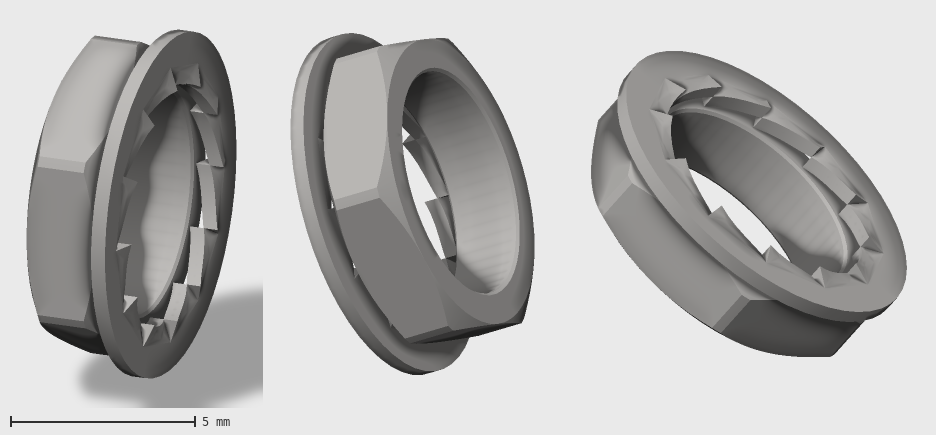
import cadquery as cq
import math

NUT_WIDTH = 1.995
ACROSS_FLATS = 8.0
CORNER_DIAMETER = 9.07
CORNER_CHAMFER_ANGLE = 31.0
BORE_DIAMETER = 6.24
BORE_CHAMFER = 0.08

WASHER_DIAMETER = 9.5
WASHER_THICKNESS = 0.41
TOOTH_COUNT = 12
TOOTH_ROOT_RADIUS = 3.96
TOOTH_TIP_RADIUS = 3.325
TIP_ALLOWANCE = 0.19
TWIST_HEIGHT = 0.2

WASHER_CENTER_X = NUT_WIDTH + WASHER_THICKNESS / 2 + TWIST_HEIGHT
TOOTH_ANGLE = 360.0 / TOOTH_COUNT


def x_cylinder(diameter, start_x, length):
    return cq.Workplane("YZ").workplane(offset=start_x).circle(diameter / 2).extrude(length)


def make_nut():
    corner_to_corner = ACROSS_FLATS / math.cos(math.radians(30))
    hexagon = (
        cq.Workplane("YZ")
        .polygon(6, corner_to_corner)
        .extrude(NUT_WIDTH)
        .rotate((0, 0, 0), (1, 0, 0), 90)
    )

    chamfer_radial = (CORNER_DIAMETER - ACROSS_FLATS) / 2
    chamfer_axial = chamfer_radial * math.tan(math.radians(CORNER_CHAMFER_ANGLE))
    envelope = (
        cq.Workplane("XY")
        .moveTo(0, 0)
        .lineTo(0, ACROSS_FLATS / 2)
        .lineTo(chamfer_axial, CORNER_DIAMETER / 2)
        .lineTo(NUT_WIDTH - chamfer_axial, CORNER_DIAMETER / 2)
        .lineTo(NUT_WIDTH, ACROSS_FLATS / 2)
        .lineTo(NUT_WIDTH, 0)
        .close()
        .revolve(360, (0, 0, 0), (1, 0, 0))
    )
    bored = hexagon.intersect(envelope).cut(x_cylinder(BORE_DIAMETER, 0, NUT_WIDTH))
    return bored.edges(cq.selectors.RadiusNthSelector(0)).chamfer(BORE_CHAMFER)


def tooth_end(angle, twist_direction):
    """Closed radial section at one end of a tooth, run inward past the tip."""
    inner_radius = TOOTH_TIP_RADIUS - TIP_ALLOWANCE
    reach = (TOOTH_ROOT_RADIUS - inner_radius) / (TOOTH_ROOT_RADIUS - TOOTH_TIP_RADIUS)
    inner_shift = twist_direction * TWIST_HEIGHT * reach
    half = WASHER_THICKNESS / 2
    section = [
        (-half, TOOTH_ROOT_RADIUS),
        (half, TOOTH_ROOT_RADIUS),
        (inner_shift + half, inner_radius),
        (inner_shift - half, inner_radius),
    ]
    cosine = math.cos(math.radians(angle))
    sine = math.sin(math.radians(angle))
    points = [cq.Vector(WASHER_CENTER_X + x, r * cosine, r * sine) for x, r in section]
    return cq.Wire.makePolygon(points, close=True)


def make_tooth(start_angle):
    high_end = tooth_end(start_angle, 1)
    low_end = tooth_end(start_angle + TOOTH_ANGLE, -1)
    twisted = cq.Workplane(cq.Solid.makeLoft([high_end, low_end], True))
    tip_bore_length = 4 * WASHER_THICKNESS
    tip_bore = x_cylinder(2 * TOOTH_TIP_RADIUS, WASHER_CENTER_X - tip_bore_length / 2, tip_bore_length)
    return twisted.cut(tip_bore)


def make_washer():
    washer = (
        cq.Workplane("YZ")
        .workplane(offset=WASHER_CENTER_X - WASHER_THICKNESS / 2)
        .circle(WASHER_DIAMETER / 2)
        .polygon(TOOTH_COUNT, 2 * TOOTH_ROOT_RADIUS)
        .extrude(WASHER_THICKNESS)
    )
    for index in range(TOOTH_COUNT):
        washer = washer.union(make_tooth(index * TOOTH_ANGLE))
    return washer


nut = make_nut()
lock_washer = make_washer()

result = cq.Compound.makeCompound([nut.val(), *lock_washer.solids().vals()])